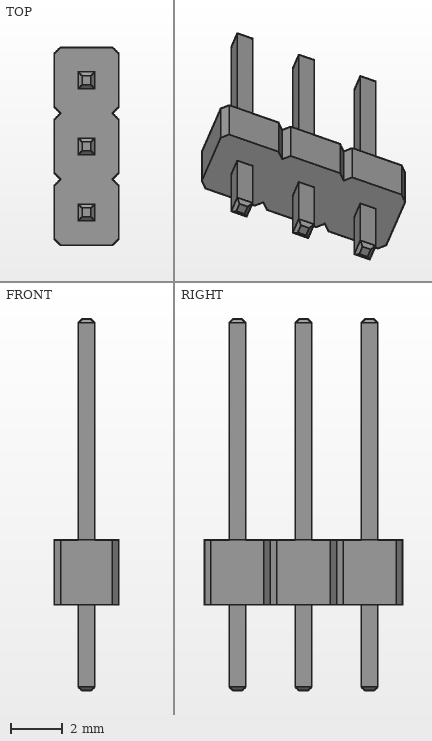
import cadquery as cq

PIN_COUNT = 3
PITCH = 2.54

BODY_WIDTH = 2.5
BODY_HEIGHT = 2.5
BODY_CHAMFER = 0.25

PIN_SIDE = 0.64
PIN_ABOVE_BODY = 8.5
PIN_BELOW_BODY = 3.3
PIN_LENGTH = PIN_BELOW_BODY + BODY_HEIGHT + PIN_ABOVE_BODY
TIP_CHAMFER = 0.15


def housing_cell(y):
    """One insulator block with chamfered upright edges, standing on Z = 0."""
    return (
        cq.Workplane("XY")
        .center(0, y)
        .rect(BODY_WIDTH, PITCH)
        .extrude(BODY_HEIGHT)
        .edges("|Z")
        .chamfer(BODY_CHAMFER)
    )


def pin(y):
    """One square pin with both tips chamfered, passing through its block."""
    return (
        cq.Workplane("XY", origin=(0, y, -PIN_BELOW_BODY))
        .rect(PIN_SIDE, PIN_SIDE)
        .extrude(PIN_LENGTH)
        .faces("<Z or >Z")
        .edges()
        .chamfer(TIP_CHAMFER)
    )


first_pin_y = -PITCH * (PIN_COUNT - 1) / 2
result = cq.Workplane("XY")
for index in range(PIN_COUNT):
    pin_y = first_pin_y + index * PITCH
    result = result.union(housing_cell(pin_y)).union(pin(pin_y))
result = result.clean()